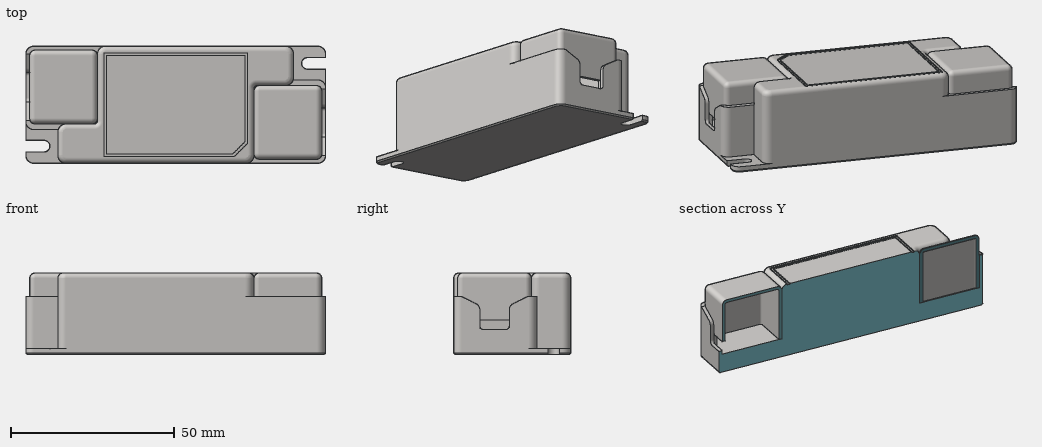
import cadquery as cq

LENGTH = 92.0
WIDTH = 36.0
HEIGHT = 25.0
END_X = LENGTH / 2
SIDE_Y = WIDTH / 2

PLATE_T = 1.8
BOTTOM_CHAMFER = 0.5
CORNER_R = 2.5
SLOT_WIDTH = 3.5
SLOT_LENGTH = 7.4
SLOT_Y = -12.7

MIDDLE_X = 36.2
STEP_X = 24.0
STEP_Y = 5.9
MIDDLE_TOP_R = 1.7
MIDDLE_INNER_R = 0.9

CAP_X_IN = -STEP_X
CAP_Y_MIN = -STEP_Y
CAP_Y_MAX = 16.7
CAP_WALL = 1.1
CAP_R = 1.7
CAP_FLOOR_Z = 6.4

TRAY_END_WALL = 1.2
TRAY_Y_MIN = -7.6
RIM_Z = 17.85

CAP_X_OUT = -END_X + TRAY_END_WALL
CAP_LENGTH = CAP_X_IN - CAP_X_OUT
CAP_WIDTH = CAP_Y_MAX - CAP_Y_MIN
CAP_X = (CAP_X_OUT + CAP_X_IN) / 2
CAP_Y = (CAP_Y_MIN + CAP_Y_MAX) / 2

NOTCH_HALF = 4.5
NOTCH_MOUTH_HALF = 10.2
NOTCH_Z = 7.6
NOTCH_SHOULDER_Z = 15.0
NOTCH_SHOULDER_R = 2.0
NOTCH_BOTTOM_R = 1.1
WINDOW_TOP_Z = 10.7

LABEL_X = 22.1
LABEL_Y = 15.9
LABEL_CHAMFER = 4.1
INNER_LABEL_CHAMFER = 3.8
GROOVE_W = 0.8
GROOVE_DEPTH = 0.3


def half_turn(shape):
    """Return the shape turned to the opposite end of the part."""
    return shape.rotate((0, 0, 0), (0, 0, 1), 180)


def plate():
    """Base plate with rounded corners and a chamfered underside."""
    base = cq.Workplane("XY").box(LENGTH, WIDTH, PLATE_T, centered=(True, True, False))
    return base.edges("|Z").fillet(CORNER_R).faces("<Z").edges().chamfer(BOTTOM_CHAMFER)


def middle():
    """Z-shaped raised block with a rounded top edge."""
    outline = [
        (-MIDDLE_X, -SIDE_Y),
        (STEP_X, -SIDE_Y),
        (STEP_X, STEP_Y),
        (MIDDLE_X, STEP_Y),
        (MIDDLE_X, SIDE_Y),
        (-STEP_X, SIDE_Y),
        (-STEP_X, -STEP_Y),
        (-MIDDLE_X, -STEP_Y),
    ]
    inner_corners = [(-STEP_X, -STEP_Y), (STEP_X, STEP_Y)]
    block = cq.Workplane("XY").workplane(offset=PLATE_T).polyline(outline).close()
    block = block.extrude(HEIGHT - PLATE_T)
    for x, y in inner_corners:
        block = block.edges(cq.NearestToPointSelector((x, y, HEIGHT / 2))).fillet(MIDDLE_INNER_R)
    for x, y in outline:
        if (x, y) not in inner_corners:
            block = block.edges(cq.NearestToPointSelector((x, y, HEIGHT / 2))).fillet(CORNER_R)
    return block.faces(">Z").edges().fillet(MIDDLE_TOP_R)


def tray_block():
    """Tray block on the plate at the -X end, with its outer corners rounded."""
    length = END_X - STEP_X + CORNER_R
    block = (
        cq.Workplane("XY")
        .box(length, SIDE_Y - TRAY_Y_MIN, RIM_Z - PLATE_T, centered=False)
        .translate((-END_X, TRAY_Y_MIN, PLATE_T))
    )
    return block.edges("|Z and <X").fillet(CORNER_R)


def cap_block():
    """Outer block of a cap, sharp at the top, also used as the tray pocket."""
    block = cq.Workplane("XY", origin=(CAP_X, CAP_Y, CAP_FLOOR_Z))
    return block.box(CAP_LENGTH, CAP_WIDTH, HEIGHT - CAP_FLOOR_Z, centered=(True, True, False))


def notch():
    """Cutter for the flared cable notch in the -X end wall."""
    outline = [
        (-NOTCH_MOUTH_HALF, RIM_Z),
        (-NOTCH_HALF, NOTCH_SHOULDER_Z),
        (-NOTCH_HALF, NOTCH_Z),
        (NOTCH_HALF, NOTCH_Z),
        (NOTCH_HALF, NOTCH_SHOULDER_Z),
        (NOTCH_MOUTH_HALF, RIM_Z),
    ]
    cutter = (
        cq.Workplane("YZ", origin=(-END_X, CAP_Y, 0))
        .polyline(outline)
        .close()
        .extrude(TRAY_END_WALL + CAP_R)
    )
    for y in (CAP_Y - NOTCH_HALF, CAP_Y + NOTCH_HALF):
        for z, radius in ((NOTCH_SHOULDER_Z, NOTCH_SHOULDER_R), (NOTCH_Z, NOTCH_BOTTOM_R)):
            corner = cq.NearestToPointSelector((CAP_X_OUT, y, z))
            cutter = cutter.edges("|X").edges(corner).fillet(radius)
    return cutter


def slot():
    """Cutter for the open screw slot at the -X end of the plate."""
    radius = SLOT_WIDTH / 2
    straight = SLOT_LENGTH - radius
    cutter = cq.Workplane("XY").rect(2 * straight, SLOT_WIDTH).extrude(PLATE_T)
    tip = cq.Workplane("XY").center(straight, 0).circle(radius).extrude(PLATE_T)
    return cutter.union(tip).translate((-END_X, SLOT_Y, 0))


def label_area(inset, chamfer):
    """Rectangle with one cut corner, reaching from the groove floor to the top."""
    x = LABEL_X - inset
    y = LABEL_Y - inset
    outline = [(-x, -y), (x - chamfer, -y), (x, -y + chamfer), (x, y), (-x, y)]
    area = cq.Workplane("XY").workplane(offset=HEIGHT - GROOVE_DEPTH)
    return area.polyline(outline).close().extrude(GROOVE_DEPTH)


def make_housing():
    """Plate, raised middle and two trays as one solid."""
    body = plate().union(middle())
    tray = tray_block()
    pocket = cap_block().edges("|Z").fillet(CAP_R)
    cutters = [pocket, notch(), slot()]
    body = body.union(tray).union(half_turn(tray))
    for cutter in cutters:
        body = body.cut(cutter).cut(half_turn(cutter))
    groove = label_area(0, LABEL_CHAMFER).cut(label_area(GROOVE_W, INNER_LABEL_CHAMFER))
    return body.cut(groove)


def make_cap():
    """Open-bottomed cap with a cable window in its end wall."""
    shell = cap_block().edges("|Z or >Z").fillet(CAP_R)
    inside = (
        cq.Workplane("XY", origin=(CAP_X, CAP_Y, CAP_FLOOR_Z))
        .rect(CAP_LENGTH - 2 * CAP_WALL, CAP_WIDTH - 2 * CAP_WALL)
        .extrude(HEIGHT - CAP_FLOOR_Z - CAP_WALL)
        .edges("|Z or >Z")
        .fillet(CAP_R - CAP_WALL)
    )
    window = (
        cq.Workplane("XY", origin=(CAP_X_OUT, CAP_Y, CAP_FLOOR_Z))
        .rect(2 * CAP_WALL, 2 * NOTCH_HALF)
        .extrude(WINDOW_TOP_Z - CAP_FLOOR_Z)
    )
    return shell.cut(inside).cut(window)


housing = make_housing()
caps = [cap.solids().val() for cap in (make_cap(), half_turn(make_cap()))]

result = cq.Compound.makeCompound([housing.solids().val(), *caps])